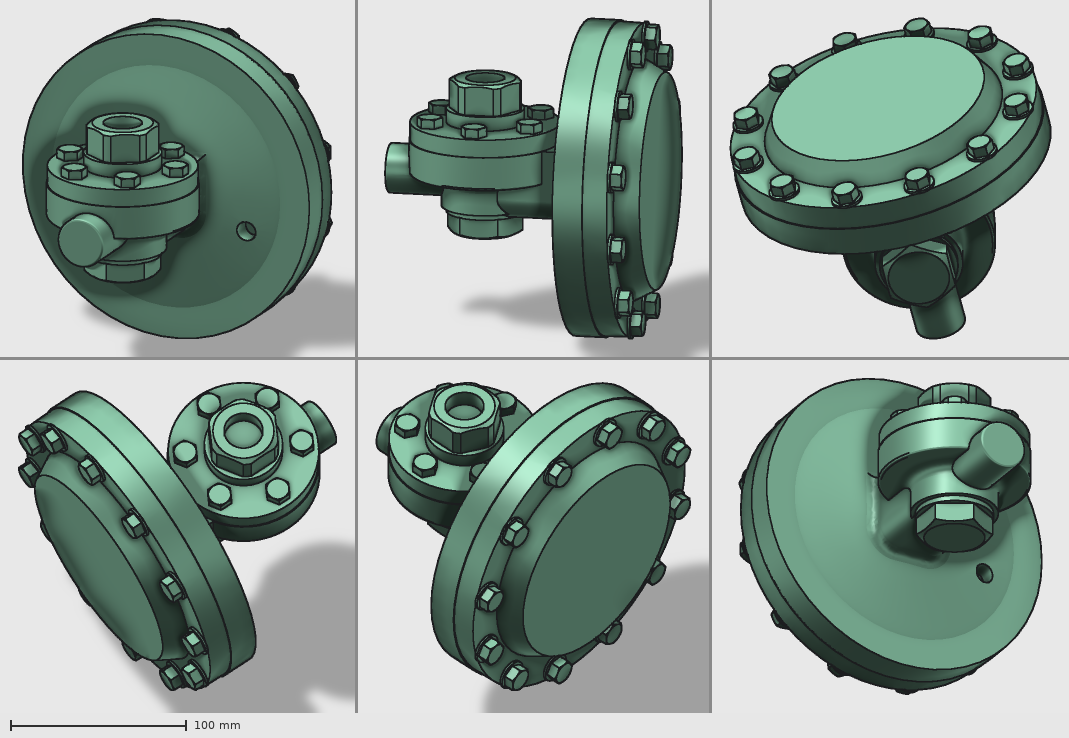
import cadquery as cq
import math


housing_radius = 90.5
body_thickness = 17.2
front_cone_radius = 72.0
front_cone_height = 8.5
cover_front_radius = 89.8
cover_back_radius = 89.5
cover_thickness = 14.1
dome_base_radius = 69.5
dome_top_radius = 62.1
dome_height = 13.5
cover_back_y = body_thickness + cover_thickness
dome_back_y = cover_back_y + dome_height

vent_radius = 5.6
vent_x = 51.6
vent_z = -18.8
vent_depth = 9.0

bolt_across_flats = 12.9
cover_bolt_count = 12
cover_bolt_circle_radius = 81.7
cover_bolt_height = 6.3
washer_radius = 8.7
washer_thickness = 1.5
valve_bolt_count = 6
valve_bolt_circle_radius = 33.3
valve_bolt_height = 5.5

valve_y = -56.9
bowl_radius = 43.5
bowl_top_z = 19.5
bowl_edge_fillet = 1.5
neck_radius = 25.0
neck_bottom_z = -19.2
neck_flare_radius = 6.3
collar_radius = 22.3
lower_collar_bottom_z = -22.5
bonnet_radius = 43.0
bonnet_top_z = 29.9
upper_collar_top_z = 38.0

nut_across_flats = 37.8
nut_face_radius = 17.4
upper_nut_height = 17.5
upper_nut_corner_radius = 20.6
lower_nut_height = 12.3
bore_radius = 11.0
bore_depth = 10.0
hex_chamfer_slope = 0.5

arm_half_width = collar_radius
arm_corner_radius = 12.5
arm_root_fillet = 6.2

stem_radius = 14.3
stem_tip_y = -112.5
stem_edge_fillet = 1.3


def corner_radius(across_flats):
    """Centre-to-corner distance of a regular hexagon."""
    return across_flats / 2 / math.cos(math.pi / 6)


def hex_head(across_flats, height, face_radius, rim_radius):
    """Hexagon standing on Z = 0, corners on Y, trimmed to rim_radius and bevelled on top."""
    prism = (
        cq.Workplane("XY")
        .polygon(6, 2 * corner_radius(across_flats))
        .extrude(height)
        .rotate((0, 0, 0), (0, 0, 1), 90)
    )
    bevel_height = hex_chamfer_slope * (rim_radius - face_radius)
    envelope = (
        cq.Workplane("XZ")
        .polyline([
            (0, 0),
            (rim_radius, 0),
            (rim_radius, height - bevel_height),
            (face_radius, height),
            (0, height),
        ])
        .close()
        .revolve(360, (0, 0, 0), (0, 1, 0))
    )
    return prism.intersect(envelope)


def bolt_head(height):
    return hex_head(bolt_across_flats, height, bolt_across_flats / 2, corner_radius(bolt_across_flats))


def disc(radius, bottom_z, top_z):
    """Cylinder on the valve axis."""
    return cq.Workplane("XY", origin=(0, valve_y, bottom_z)).circle(radius).extrude(top_z - bottom_z)


def housing():
    return (
        cq.Workplane("XY")
        .polyline([
            (0, -front_cone_height),
            (front_cone_radius, 0),
            (housing_radius, 0),
            (housing_radius, body_thickness),
            (cover_front_radius, body_thickness),
            (cover_back_radius, cover_back_y),
            (dome_base_radius, cover_back_y),
            (dome_top_radius, dome_back_y),
            (0, dome_back_y),
        ])
        .close()
        .revolve(360, (0, 0, 0), (0, 1, 0))
    )


def arm():
    """Block with rounded lower corners, from inside the housing to the valve axis."""
    return (
        cq.Workplane("XY")
        .box(2 * arm_half_width, -valve_y, bowl_top_z - lower_collar_bottom_z, centered=(True, False, False))
        .translate((0, valve_y, lower_collar_bottom_z))
        .edges("|Y and <Z")
        .fillet(arm_corner_radius)
    )


def housing_with_arm():
    """Housing and arm, blended where the arm rises from the front cone."""
    joined = housing().union(arm())
    margin = 0.9
    root_zone = cq.selectors.BoxSelector(
        (-arm_half_width - margin, -front_cone_height - margin, lower_collar_bottom_z - margin),
        (arm_half_width + margin, -margin, bowl_top_z + margin),
    )
    return joined.edges(root_zone).fillet(arm_root_fillet)


def cover_bolts():
    """Washers and bolt heads on the back of the cover, straddling the vertical centre line.

    The first head has its corners on Z; the others are turned copies of it.
    """
    washer = cq.Workplane("XY").circle(washer_radius).extrude(washer_thickness)
    head = bolt_head(cover_bolt_height).translate((0, 0, washer_thickness))
    step = 360 / cover_bolt_count
    first_angle = math.radians(step / 2)
    first_x = cover_bolt_circle_radius * math.cos(first_angle)
    first_z = cover_bolt_circle_radius * math.sin(first_angle)
    bolt = (
        washer.union(head)
        .rotate((0, 0, 0), (1, 0, 0), -90)
        .translate((first_x, cover_back_y, first_z))
    )
    return [bolt.rotate((0, 0, 0), (0, 1, 0), index * step) for index in range(cover_bolt_count)]


def valve_body():
    """Neck flaring into the bowl, with the bonnet and a collar at each end."""
    flare_mid = neck_flare_radius * (1 - math.sqrt(0.5))
    bowl = (
        cq.Workplane("XZ")
        .moveTo(0, neck_bottom_z)
        .lineTo(neck_radius, neck_bottom_z)
        .lineTo(neck_radius, -neck_flare_radius)
        .threePointArc((neck_radius + flare_mid, -flare_mid), (neck_radius + neck_flare_radius, 0))
        .lineTo(bowl_radius - bowl_edge_fillet, 0)
        .radiusArc((bowl_radius, bowl_edge_fillet), -bowl_edge_fillet)
        .lineTo(bowl_radius, bowl_top_z)
        .lineTo(0, bowl_top_z)
        .close()
        .revolve(360, (0, 0, 0), (0, 1, 0))
        .translate((0, valve_y, 0))
    )
    bonnet = disc(bonnet_radius, bowl_top_z, bonnet_top_z)
    upper_collar = disc(collar_radius, bonnet_top_z, upper_collar_top_z)
    lower_collar = disc(collar_radius, lower_collar_bottom_z, neck_bottom_z)
    return bowl.union(bonnet).union(upper_collar).union(lower_collar)


def valve_bolts():
    head = bolt_head(valve_bolt_height)
    step = 2 * math.pi / valve_bolt_count
    bolts = []
    for index in range(valve_bolt_count):
        x = valve_bolt_circle_radius * math.cos(index * step)
        y = valve_bolt_circle_radius * math.sin(index * step)
        bolts.append(head.translate((x, valve_y + y, bonnet_top_z)))
    return bolts


def upper_nut():
    nut = hex_head(nut_across_flats, upper_nut_height, nut_face_radius, upper_nut_corner_radius)
    bored_nut = nut.faces(">Z").workplane().circle(bore_radius).cutBlind(-bore_depth)
    return bored_nut.translate((0, valve_y, upper_collar_top_z))


def lower_nut():
    nut = hex_head(nut_across_flats, lower_nut_height, nut_face_radius, corner_radius(nut_across_flats))
    return nut.rotate((0, 0, 0), (1, 0, 0), 180).translate((0, valve_y, lower_collar_bottom_z))


def stem():
    return (
        cq.Workplane("XZ", origin=(0, valve_y, 0))
        .circle(stem_radius)
        .extrude(valve_y - stem_tip_y)
        .faces("<Y")
        .edges()
        .fillet(stem_edge_fillet)
    )


def vent_hole():
    return (
        cq.Workplane("XZ", origin=(vent_x, vent_depth, vent_z))
        .circle(vent_radius)
        .extrude(vent_depth + front_cone_height)
    )


result = housing_with_arm().cut(vent_hole())
for part in [valve_body(), stem(), upper_nut(), lower_nut(), *cover_bolts(), *valve_bolts()]:
    result = result.union(part)